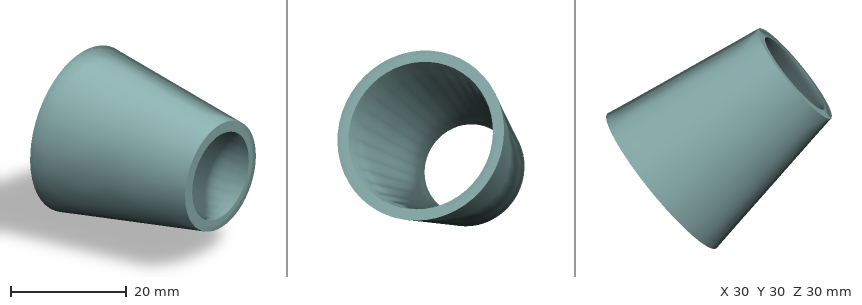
import cadquery as cq

length = 30.0
large_outer_diameter = 30.0
small_outer_diameter = 20.0
wall = 2.0

large_outer_radius = large_outer_diameter / 2
small_outer_radius = small_outer_diameter / 2


def tapered_sleeve():
    """Hollow cone along X, open at both ends, with its large end at X = 0."""
    wall_section = (
        cq.Workplane("XZ")
        .moveTo(0, large_outer_radius)
        .lineTo(length, small_outer_radius)
        .lineTo(length, small_outer_radius - wall)
        .lineTo(0, large_outer_radius - wall)
        .close()
    )
    return wall_section.revolve(360, (0, 0, 0), (1, 0, 0))


result = tapered_sleeve()